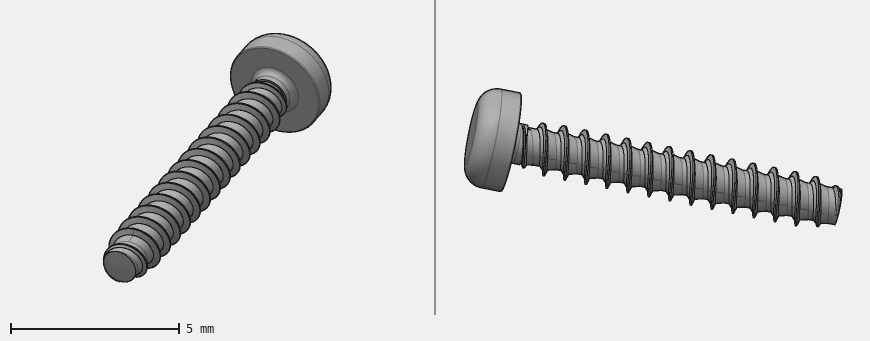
import cadquery as cq
import math


overall_length = 11.2
head_radius = 1.5
head_height = 1.2
head_top_fillet = 0.59
head_rim_fillet = 0.03

neck_radius = 0.6
neck_fillet = 0.19
neck_length = 0.39
core_radius = 0.54
tip_cone_height = 0.02
shank_length = overall_length - head_height
tip_face_y = -(shank_length - tip_cone_height)

thread_start = 0.25
thread_length = 9.77
thread_turns = 15.25
run_in_turns = 1.25
run_out_turns = 1.5
start_fraction = 0.3
end_fraction = 0.1
start_angle = math.pi
pitch = thread_length / thread_turns
points_per_turn = 24

thread_radius = 0.8
crest_half_width = 0.02
flank_radius = 0.64
flank_offset = 0.07
foot_radius = 0.52
root_offset = 0.18
skirt_radius = 0.6
skirt_offset = 0.08
skirt_end_offset = 0.43

thread_section = [
    (-root_offset, foot_radius),
    (-flank_offset, flank_radius),
    (-crest_half_width, thread_radius),
    (crest_half_width, thread_radius),
    (skirt_offset, skirt_radius),
    (skirt_end_offset, foot_radius),
]


def head_and_shank():
    """Revolved head, neck and core, ending in a very shallow cone."""
    outline = (
        cq.Workplane("XY")
        .moveTo(0, head_height)
        .lineTo(head_radius - head_top_fillet, head_height)
        .radiusArc((head_radius, head_height - head_top_fillet), head_top_fillet)
        .lineTo(head_radius, head_rim_fillet)
        .radiusArc((head_radius - head_rim_fillet, 0), head_rim_fillet)
        .lineTo(neck_radius + neck_fillet, 0)
        .radiusArc((neck_radius, -neck_fillet), -neck_fillet)
        .lineTo(neck_radius, -neck_length)
        .lineTo(core_radius, -neck_length)
        .lineTo(core_radius, tip_face_y)
        .lineTo(0, -shank_length)
        .close()
    )
    return outline.revolve(360, (0, 0, 0), (0, 1, 0))


def height_fraction(turn):
    """Share of the full thread height: rises over the run-in, falls over the run-out."""
    rise = start_fraction + (1 - start_fraction) * turn / run_in_turns
    fall = end_fraction + (1 - end_fraction) * (thread_turns - turn) / run_out_turns
    return min(1, rise, fall)


def corner_point(corner, turn):
    """Place of one corner of the thread section after a number of turns."""
    offset, full_radius = corner
    radius = full_radius
    if full_radius > core_radius:
        radius = core_radius + (full_radius - core_radius) * height_fraction(turn)
    angle = start_angle + 2 * math.pi * turn
    y = -(thread_start + pitch * turn + offset)
    return cq.Vector(radius * math.cos(angle), y, radius * math.sin(angle))


def corner_edge(corner, first_turn, last_turn):
    """Helical edge followed by one corner of the thread section between two turns."""
    steps = round((last_turn - first_turn) * points_per_turn)
    step = (last_turn - first_turn) / steps
    return cq.Edge.makeSpline([corner_point(corner, first_turn + i * step) for i in range(steps + 1)])


def end_face(turn):
    """Flat face that closes the thread at one of its ends."""
    return cq.Face.makeFromWires(
        cq.Wire.makePolygon([corner_point(corner, turn) for corner in thread_section], close=True)
    )


def thread():
    """Thread ridge, with its foot sunk in the core and cut off at the tip face.

    It is built in strips: the run-in, full-height strips of up to one turn, and the run-out.
    """
    run_out_start = thread_turns - run_out_turns
    whole_turns = math.floor(run_out_start - run_in_turns)
    strip_ends = [run_in_turns + i for i in range(whole_turns + 1)]
    stations = [0, *strip_ends, run_out_start, thread_turns]
    faces = [end_face(0), end_face(thread_turns)]
    for first_turn, last_turn in zip(stations, stations[1:]):
        edges = [corner_edge(corner, first_turn, last_turn) for corner in thread_section]
        for edge, next_edge in zip(edges, edges[1:] + edges[:1]):
            faces.append(cq.Face.makeRuledSurface(edge, next_edge))
    ridge = cq.Solid.makeSolid(cq.Shell.makeShell(faces))
    beyond_tip = cq.Workplane("XZ", origin=(0, tip_face_y, 0)).circle(2 * thread_radius).extrude(2 * pitch)
    return cq.Workplane(ridge).cut(beyond_tip)


result = head_and_shank().union(thread())